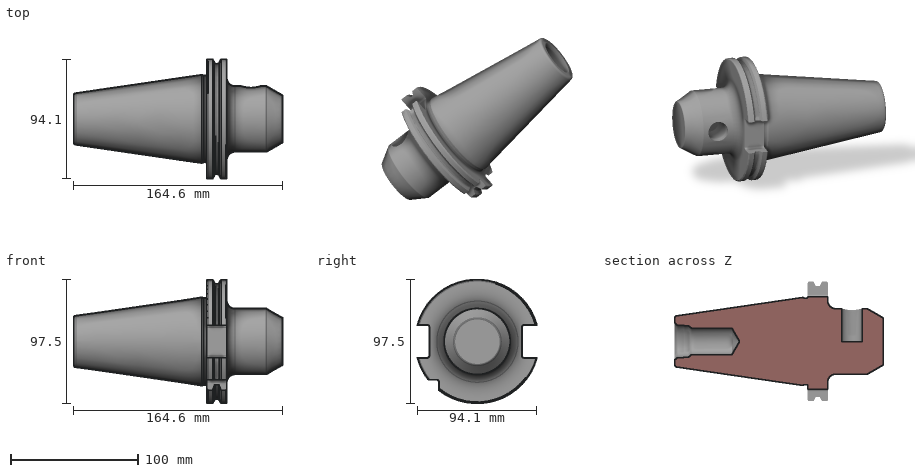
import cadquery as cq
import math

GAUGE_RADIUS = 69.85 / 2
TAPER_SLOPE = 7 / 24 / 2
TAPER_LENGTH = 101.6
TAPER_END_X = -0.75
TAPER_TIP_ROUND = 2.0

RELIEF_RADIUS = 34.3
RELIEF_START_X = 0.7
RELIEF_FILLET = 0.8

FLANGE_RADIUS = 97.5 / 2
FLANGE_START_X = 3.2
FLANGE_END_X = 19.1
FLANGE_EDGE_ROUND = 1.0
GROOVE_CENTRE_X = 11.1
GROOVE_RIM_WIDTH = 6.7
GROOVE_WALL_WIDTH = 4.0
GROOVE_FLANK_ANGLE = 30
GROOVE_FLOOR_RADIUS = 45.5
GROOVE_FLOOR_FILLET = 1.0

SLOT_WIDTH = 25.7
SLOT_FLOOR_PLUS_Y = 35.4
SLOT_FLOOR_MINUS_Y = 37.7
NOTCH_OFFSET = 30.2
CUT_CORNER_RADIUS = 1.5

HEAD_RADIUS = 26.0
HEAD_END_X = 63.0
HEAD_FILLET_RADIUS = 6.0
NOSE_START_X = 50.0
NOSE_ANGLE = 30
NOSE_EDGE_ROUND = 1.0
SHOULDER_ROUND = 1.0

SCREW_RADIUS = 8.0
SCREW_FROM_FACE = 25.0
SCREW_X = HEAD_END_X - SCREW_FROM_FACE

ENTRY_RADIUS = 14.5
ENTRY_CHAMFER = 0.5
ENTRY_CONE_END = 2.3
PILOT_RADIUS = 12.5
PILOT_END = 6.8
PILOT_STEP_LENGTH = 1.0
COLLAR_RADIUS = 12.2
COLLAR_END = 10.8
COLLAR_STEP_LENGTH = 0.6
THREAD_CONE_RADIUS = 11.8
THREAD_CONE_LENGTH = 1.9
THREAD_RADIUS = 10.3
THREAD_DEPTH = 45.0
DRILL_HALF_ANGLE = 60


def taper_radius(x):
    """Radius of the steep taper at axial position x."""
    return GAUGE_RADIUS + x * TAPER_SLOPE


def revolve_about_x(profile):
    """Revolve a closed XY profile a full turn about the X axis."""
    return profile.close().revolve(360, (0, 0, 0), (1, 0, 0))


def make_taper():
    """Steep taper with its rounded tip, and the relief up to the flange."""
    profile = (
        cq.Workplane("XY")
        .moveTo(-TAPER_LENGTH, 0)
        .lineTo(-TAPER_LENGTH, taper_radius(-TAPER_LENGTH))
        .lineTo(TAPER_END_X, taper_radius(TAPER_END_X))
        .lineTo(RELIEF_START_X, RELIEF_RADIUS)
        .lineTo(FLANGE_START_X - RELIEF_FILLET, RELIEF_RADIUS)
        .radiusArc((FLANGE_START_X, RELIEF_RADIUS + RELIEF_FILLET), -RELIEF_FILLET)
        .lineTo(FLANGE_START_X, 0)
    )
    return revolve_about_x(profile).faces("<X").edges().fillet(TAPER_TIP_ROUND)


def make_flange():
    """Disc with rounded edges, and the gripper groove cut around its rim."""
    flange = (
        cq.Workplane("YZ", origin=(FLANGE_START_X, 0, 0))
        .circle(FLANGE_RADIUS)
        .extrude(FLANGE_END_X - FLANGE_START_X)
        .edges()
        .fillet(FLANGE_EDGE_ROUND)
    )
    return flange.cut(make_groove())


def make_groove():
    """Ring that clears the groove: sloped flanks, straight walls, filleted floor."""
    half_rim = GROOVE_RIM_WIDTH / 2
    half_wall = GROOVE_WALL_WIDTH / 2
    half_floor = half_wall - GROOVE_FLOOR_FILLET
    wall_top = FLANGE_RADIUS - (half_rim - half_wall) / math.tan(math.radians(GROOVE_FLANK_ANGLE))
    fillet_top = GROOVE_FLOOR_RADIUS + GROOVE_FLOOR_FILLET
    profile = (
        cq.Workplane("XY")
        .moveTo(GROOVE_CENTRE_X - half_rim, FLANGE_RADIUS)
        .lineTo(GROOVE_CENTRE_X - half_wall, wall_top)
        .lineTo(GROOVE_CENTRE_X - half_wall, fillet_top)
        .radiusArc((GROOVE_CENTRE_X - half_floor, GROOVE_FLOOR_RADIUS), -GROOVE_FLOOR_FILLET)
        .lineTo(GROOVE_CENTRE_X + half_floor, GROOVE_FLOOR_RADIUS)
        .radiusArc((GROOVE_CENTRE_X + half_wall, fillet_top), -GROOVE_FLOOR_FILLET)
        .lineTo(GROOVE_CENTRE_X + half_wall, wall_top)
        .lineTo(GROOVE_CENTRE_X + half_rim, FLANGE_RADIUS)
    )
    return revolve_about_x(profile)


def flange_cutter(y_min, y_max, z_min, z_max):
    """Block through the flange thickness with rounded edges along X."""
    return (
        cq.Workplane("XY")
        .box(FLANGE_END_X - FLANGE_START_X, y_max - y_min, z_max - z_min, centered=False)
        .edges("|X")
        .fillet(CUT_CORNER_RADIUS)
        .translate((FLANGE_START_X, y_min, z_min))
    )


def cut_flange_openings(flange):
    """Two drive slots of unequal depth and the orientation notch."""
    clear = FLANGE_RADIUS + 2 * CUT_CORNER_RADIUS
    half_slot = SLOT_WIDTH / 2
    return (
        flange
        .cut(flange_cutter(SLOT_FLOOR_PLUS_Y, clear, -half_slot, half_slot))
        .cut(flange_cutter(-clear, -SLOT_FLOOR_MINUS_Y, -half_slot, half_slot))
        .cut(flange_cutter(-clear, -NOTCH_OFFSET, -clear, -NOTCH_OFFSET))
    )


def make_head():
    """Cylindrical head with a root fillet at the flange and a conical nose."""
    nose_drop = (HEAD_END_X - NOSE_START_X) * math.tan(math.radians(NOSE_ANGLE))
    profile = (
        cq.Workplane("XY")
        .moveTo(FLANGE_END_X, 0)
        .lineTo(FLANGE_END_X, HEAD_RADIUS + HEAD_FILLET_RADIUS)
        .radiusArc((FLANGE_END_X + HEAD_FILLET_RADIUS, HEAD_RADIUS), -HEAD_FILLET_RADIUS)
        .lineTo(NOSE_START_X, HEAD_RADIUS)
        .lineTo(HEAD_END_X, HEAD_RADIUS - nose_drop)
        .lineTo(HEAD_END_X, 0)
    )
    head = revolve_about_x(profile).faces(">X").edges().fillet(NOSE_EDGE_ROUND)
    shoulder = cq.selectors.BoxSelector(
        (NOSE_START_X - SHOULDER_ROUND, -2 * HEAD_RADIUS, -2 * HEAD_RADIUS),
        (NOSE_START_X + SHOULDER_ROUND, 2 * HEAD_RADIUS, 2 * HEAD_RADIUS),
    )
    return head.edges(shoulder).fillet(SHOULDER_ROUND)


def make_screw_hole():
    """Radial hole entering the head from +Y and ending at the axis."""
    return cq.Workplane("XZ", origin=(SCREW_X, 0, 0)).circle(SCREW_RADIUS).extrude(-2 * HEAD_RADIUS)


def make_stud_bore():
    """Stepped blind bore for the pull stud, ending in a drill point."""
    thread_cone_start = COLLAR_END + COLLAR_STEP_LENGTH
    drill_point = THREAD_RADIUS / math.tan(math.radians(DRILL_HALF_ANGLE))
    profile = (
        cq.Workplane("XY", origin=(-TAPER_LENGTH, 0, 0))
        .lineTo(0, ENTRY_RADIUS)
        .lineTo(ENTRY_CHAMFER, ENTRY_RADIUS - ENTRY_CHAMFER)
        .lineTo(ENTRY_CONE_END, PILOT_RADIUS)
        .lineTo(PILOT_END, PILOT_RADIUS)
        .lineTo(PILOT_END + PILOT_STEP_LENGTH, COLLAR_RADIUS)
        .lineTo(COLLAR_END, COLLAR_RADIUS)
        .lineTo(thread_cone_start, THREAD_CONE_RADIUS)
        .lineTo(thread_cone_start + THREAD_CONE_LENGTH, THREAD_RADIUS)
        .lineTo(THREAD_DEPTH, THREAD_RADIUS)
        .lineTo(THREAD_DEPTH + drill_point, 0)
    )
    return revolve_about_x(profile)


flange = cut_flange_openings(make_flange())
body = make_taper().union(flange).union(make_head())
result = body.cut(make_stud_bore()).cut(make_screw_hole())